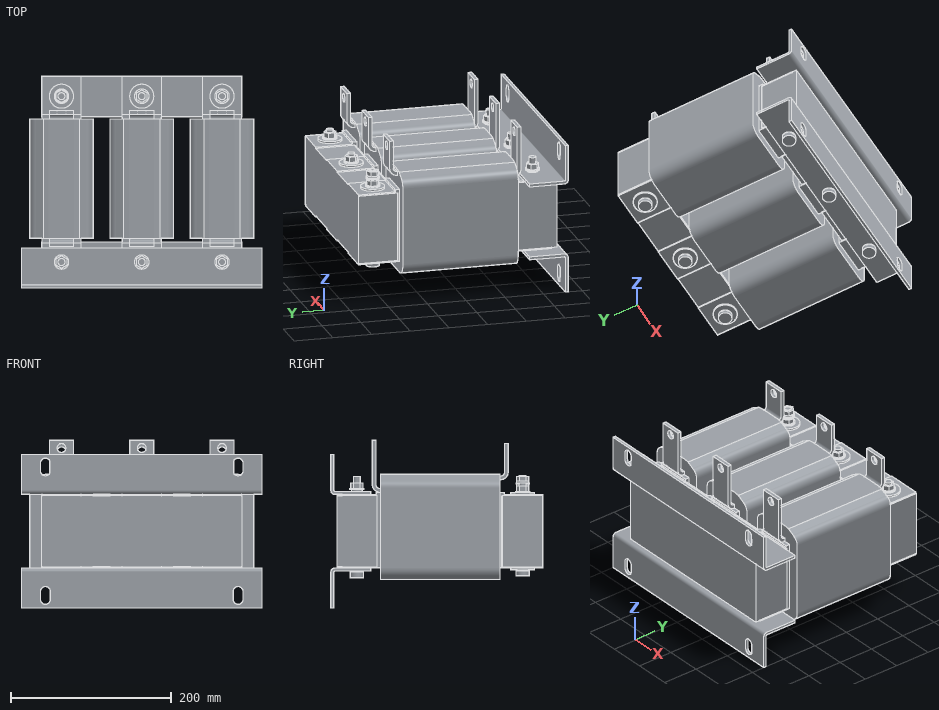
import cadquery as cq


LENGTH = 300.0
DEPTH = 264.0
HEIGHT = 209.5

BRACKET_LEG = 50.0
BRACKET_THICKNESS = 4.0
BRACKET_OUTER_RADIUS = 5.0
BRACKET_INNER_RADIUS = BRACKET_OUTER_RADIUS - BRACKET_THICKNESS
BRACKET_TOP = 191.7
SLOT_SPACING = 240.0
SLOT_WIDTH = 12.0
SLOT_LENGTH = 22.0
SLOT_EDGE_DISTANCE = 16.0

CORE_LENGTH = 250.0
LIMB_WIDTH = CORE_LENGTH / 5
YOKE_DEPTH = LIMB_WIDTH
CORE_FRONT = 7.5
SHEET_THICKNESS = 1.5
SHEET_FRONT = 14.5
SHEET_BOTTOM = BRACKET_LEG
SHEET_TOP = BRACKET_TOP - BRACKET_LEG
CORE_BOTTOM = SHEET_BOTTOM + SHEET_THICKNESS
CORE_TOP = SHEET_TOP - SHEET_THICKNESS
GAP_STRIP_THICKNESS = 1.2
GAP_STRIP_INSET = 0.3
LIMB_INSET = 0.5
COLLAR_FRONT = 56.5
COLLAR_BACK = 216.3
COLLAR_TOP = 144.3

PHASE_PITCH = 2 * LIMB_WIDTH
PHASE_POSITIONS = (-PHASE_PITCH, 0, PHASE_PITCH)
COIL_FRONT = 61.8
COIL_BACK = 211.0
COIL_HALF_WIDTH = 39.5
COIL_BOTTOM = 35.7
COIL_TOP = 167.5
COIL_BOTTOM_RADIUS = 14.0
SHOULDER_BOTTOM = 149.7
SHOULDER_TOP = 161.5
SHOULDER_HALF_WIDTH = 31.5
CREST_BASE = 166.5
CREST_BASE_HALF_WIDTH = 22.5
CREST_HALF_WIDTH = 15.5

TERMINAL_WIDTH = 30.0
TERMINAL_THICKNESS = 4.8
TERMINAL_REACH = 10.2
TERMINAL_INNER_RADIUS = 4.8
TERMINAL_OUTER_RADIUS = TERMINAL_INNER_RADIUS + TERMINAL_THICKNESS
TERMINAL_ROOT = 6.0
TERMINAL_HOLE_DIAMETER = 10.8
TERMINAL_HOLE_EDGE_DISTANCE = 10.0
FRONT_TERMINAL_LEAD = 144.3
BACK_TERMINAL_LEAD = 160.0
BACK_TERMINAL_TOP = 205.2

FRONT_BOLT_Y = CORE_FRONT + YOKE_DEPTH / 2
BACK_BOLT_Y = DEPTH - YOKE_DEPTH / 2
STUD_DIAMETER = 8.7
NUT_CORNERS = 15.5
SPACER_DIAMETER = 13.5
HEAD_DIAMETER = 16.8
PLAIN_WASHER = NUT_CORNERS
SMALL_WASHER = 18.0
LARGE_WASHER = 30.0
FRONT_HEAD_BOTTOM = 37.8
FRONT_HEAD_TOP = 45.3
FRONT_SPACER_TOP = 147.5
FRONT_WASHER_TOP = 149.0
FRONT_NUT_TOP = 156.0
FRONT_STUD_TOP = 164.0
LARGE_WASHER_THICKNESS = 2.5
BACK_HEAD_BOTTOM = 40.2
BACK_HEAD_TOP = 46.5
BACK_WASHER_TOP = 145.5
BACK_LOWER_NUT_TOP = 152.5
SPRING_WASHER_BOTTOM = 154.5
SPRING_WASHER_TOP = 156.0
SPRING_WASHER_DIAMETER = 16.8
BACK_UPPER_NUT_BOTTOM = 158.0
BACK_UPPER_NUT_TOP = 164.0
LONG_STUD_TOP = 165.0
SHORT_STUD_TOP = 155.7


def block(x_range, y_range, z_range):
    """Box between the given limits."""
    size = [high - low for low, high in (x_range, y_range, z_range)]
    corner = (x_range[0], y_range[0], z_range[0])
    return cq.Workplane("XY").box(*size, centered=False).translate(corner)


def centred_block(x, width, y_range, z_range):
    """Box of the given width about x."""
    return block((x - width / 2, x + width / 2), y_range, z_range)


def disc(x, y, diameter, bottom, top):
    """Upright cylinder."""
    outline = cq.Workplane("XY", origin=(x, y, bottom)).circle(diameter / 2)
    return outline.extrude(top - bottom)


def nut(x, y, bottom, top):
    """Hexagon nut with two corners pointing along Y."""
    outline = cq.Workplane("XY").polygon(6, NUT_CORNERS).extrude(top - bottom)
    return outline.rotate((0, 0, 0), (0, 0, 1), 90).translate((x, y, bottom))


def round_edge_along_x(body, edge_middle, radius):
    """Fillet the edge parallel to X whose middle is at the given point."""
    edge = cq.selectors.NearestToPointSelector(edge_middle)
    return body.edges("|X").edges(edge).fillet(radius)


def lower_bracket():
    """Angle with its upright face at y = 0, hanging below its shelf."""
    angle = (
        cq.Workplane("YZ")
        .moveTo(0, 0)
        .lineTo(0, BRACKET_LEG)
        .lineTo(BRACKET_LEG, BRACKET_LEG)
        .lineTo(BRACKET_LEG, BRACKET_LEG - BRACKET_THICKNESS)
        .lineTo(BRACKET_THICKNESS, BRACKET_LEG - BRACKET_THICKNESS)
        .lineTo(BRACKET_THICKNESS, 0)
        .close()
        .extrude(LENGTH / 2, both=True)
    )
    inner_corner = (0, BRACKET_THICKNESS, BRACKET_LEG - BRACKET_THICKNESS)
    angle = round_edge_along_x(angle, (0, 0, BRACKET_LEG), BRACKET_OUTER_RADIUS)
    angle = round_edge_along_x(angle, inner_corner, BRACKET_INNER_RADIUS)
    slots = (
        cq.Workplane("XZ")
        .pushPoints([(side * SLOT_SPACING / 2, SLOT_EDGE_DISTANCE) for side in (-1, 1)])
        .slot2D(SLOT_LENGTH, SLOT_WIDTH, 90)
        .extrude(-BRACKET_THICKNESS)
    )
    return angle.cut(slots)


def upper_bracket():
    """The lower bracket turned upside down and set on the core."""
    return lower_bracket().mirror("XY").translate((0, 0, BRACKET_TOP))


def yokes():
    """Front and back yokes, and the gap strip inside the back one."""
    core_z = (CORE_BOTTOM, CORE_TOP)
    back_yoke_front = DEPTH - YOKE_DEPTH
    front = centred_block(0, CORE_LENGTH, (CORE_FRONT, CORE_FRONT + YOKE_DEPTH), core_z)
    back = centred_block(0, CORE_LENGTH, (back_yoke_front, DEPTH), core_z)
    strip = centred_block(
        0,
        CORE_LENGTH - 2 * GAP_STRIP_INSET,
        (back_yoke_front - GAP_STRIP_THICKNESS, back_yoke_front),
        (CORE_BOTTOM + GAP_STRIP_INSET, CORE_TOP - GAP_STRIP_INSET),
    )
    return front.union(back).union(strip)


def limb(x):
    """Core limb with its cover sheets and the collar under the coil."""
    width = LIMB_WIDTH - 2 * LIMB_INSET
    sheets = centred_block(x, width, (SHEET_FRONT, DEPTH), (SHEET_BOTTOM, SHEET_TOP))
    collar = centred_block(x, width, (COLLAR_FRONT, COLLAR_BACK), (SHEET_BOTTOM, COLLAR_TOP))
    return sheets.union(collar)


def coil(x):
    """Winding with rounded lower corners and a sloping, faceted crown."""
    right_half = (
        cq.Workplane("XZ", origin=(0, COIL_FRONT, 0))
        .moveTo(0, COIL_BOTTOM)
        .lineTo(COIL_HALF_WIDTH, COIL_BOTTOM)
        .lineTo(COIL_HALF_WIDTH, SHOULDER_BOTTOM)
        .tangentArcPoint((SHOULDER_HALF_WIDTH, SHOULDER_TOP), relative=False)
        .lineTo(CREST_BASE_HALF_WIDTH, CREST_BASE)
        .lineTo(CREST_HALF_WIDTH, COIL_TOP)
        .lineTo(0, COIL_TOP)
        .close()
        .extrude(COIL_FRONT - COIL_BACK)
        .edges("|Y and >X and <Z")
        .fillet(COIL_BOTTOM_RADIUS)
    )
    return right_half.union(right_half.mirror("YZ")).translate((x, 0, 0))


def terminal(x, coil_end, outward, lead_bottom, top):
    """Bar leaving a coil end level and bent up to vertical on a round bend."""
    root = coil_end - outward * TERMINAL_ROOT
    outer_face = coil_end + outward * TERMINAL_REACH
    inner_face = outer_face - outward * TERMINAL_THICKNESS
    lead_top = lead_bottom + TERMINAL_THICKNESS
    profile = [
        (root, lead_bottom),
        (outer_face, lead_bottom),
        (outer_face, top),
        (inner_face, top),
        (inner_face, lead_top),
        (root, lead_top),
    ]
    bar = (
        cq.Workplane("YZ", origin=(x, 0, 0))
        .polyline(profile)
        .close()
        .extrude(TERMINAL_WIDTH / 2, both=True)
    )
    bar = round_edge_along_x(bar, (x, outer_face, lead_bottom), TERMINAL_OUTER_RADIUS)
    bar = round_edge_along_x(bar, (x, inner_face, lead_top), TERMINAL_INNER_RADIUS)
    hole = (
        cq.Workplane("XZ", origin=(x, coil_end, top - TERMINAL_HOLE_EDGE_DISTANCE))
        .circle(TERMINAL_HOLE_DIAMETER / 2)
        .extrude(TERMINAL_REACH, both=True)
    )
    return bar.cut(hole)


def front_bolt(x):
    """Bolt clamping the brackets to the front yoke."""
    y = FRONT_BOLT_Y
    lower_bracket_underside = BRACKET_LEG - BRACKET_THICKNESS
    return (
        disc(x, y, STUD_DIAMETER, FRONT_HEAD_TOP, FRONT_STUD_TOP)
        .union(disc(x, y, HEAD_DIAMETER, FRONT_HEAD_BOTTOM, FRONT_HEAD_TOP))
        .union(disc(x, y, SPACER_DIAMETER, FRONT_HEAD_TOP, lower_bracket_underside))
        .union(disc(x, y, SPACER_DIAMETER, SHEET_TOP, FRONT_SPACER_TOP))
        .union(disc(x, y, SMALL_WASHER, FRONT_SPACER_TOP, FRONT_WASHER_TOP))
        .union(nut(x, y, FRONT_WASHER_TOP, FRONT_NUT_TOP))
    )


def back_bolt(x, stud_top):
    """Bolt through the back yoke, with large washers and one nut."""
    y = BACK_BOLT_Y
    lower_washer_bottom = SHEET_BOTTOM - LARGE_WASHER_THICKNESS
    upper_washer_top = SHEET_TOP + LARGE_WASHER_THICKNESS
    return (
        disc(x, y, STUD_DIAMETER, BACK_HEAD_TOP, stud_top)
        .union(disc(x, y, HEAD_DIAMETER, BACK_HEAD_BOTTOM, BACK_HEAD_TOP))
        .union(disc(x, y, SPACER_DIAMETER, BACK_HEAD_TOP, lower_washer_bottom))
        .union(disc(x, y, LARGE_WASHER, lower_washer_bottom, SHEET_BOTTOM))
        .union(disc(x, y, LARGE_WASHER, SHEET_TOP, upper_washer_top))
        .union(disc(x, y, SMALL_WASHER, upper_washer_top, BACK_WASHER_TOP))
        .union(nut(x, y, BACK_WASHER_TOP, BACK_LOWER_NUT_TOP))
    )


def second_nut(x):
    """Washers and a second nut stacked on the first nut of a long back bolt."""
    y = BACK_BOLT_Y
    return (
        disc(x, y, PLAIN_WASHER, BACK_LOWER_NUT_TOP, SPRING_WASHER_BOTTOM)
        .union(disc(x, y, SPRING_WASHER_DIAMETER, SPRING_WASHER_BOTTOM, SPRING_WASHER_TOP))
        .union(disc(x, y, PLAIN_WASHER, SPRING_WASHER_TOP, BACK_UPPER_NUT_BOTTOM))
        .union(nut(x, y, BACK_UPPER_NUT_BOTTOM, BACK_UPPER_NUT_TOP))
    )


long_bolt_x, *short_bolt_positions = PHASE_POSITIONS

result = yokes().union(lower_bracket()).union(upper_bracket())
for phase_x in PHASE_POSITIONS:
    result = (
        result.union(limb(phase_x))
        .union(coil(phase_x))
        .union(terminal(phase_x, COIL_FRONT, -1, FRONT_TERMINAL_LEAD, HEIGHT))
        .union(terminal(phase_x, COIL_BACK, 1, BACK_TERMINAL_LEAD, BACK_TERMINAL_TOP))
        .union(front_bolt(phase_x))
    )
for bolt_x in short_bolt_positions:
    result = result.union(back_bolt(bolt_x, SHORT_STUD_TOP))
result = result.union(back_bolt(long_bolt_x, LONG_STUD_TOP)).union(second_nut(long_bolt_x))